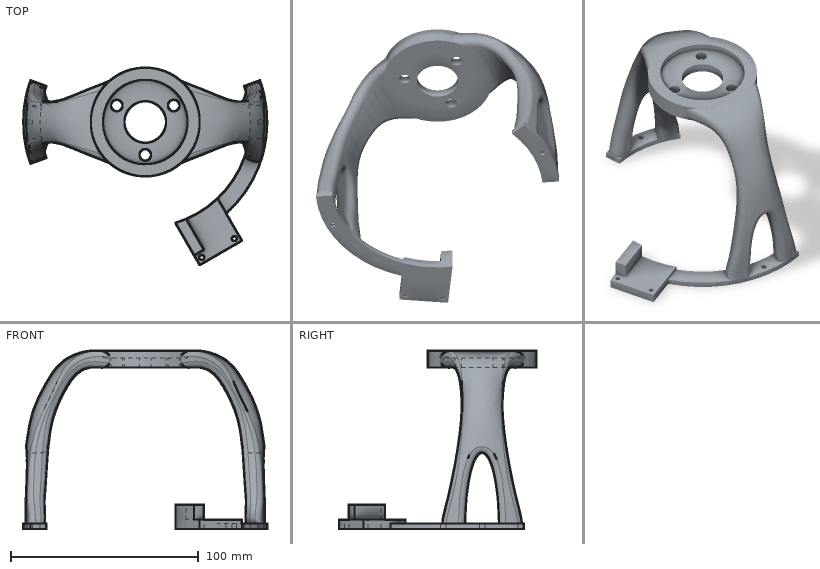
import cadquery as cq
import math

height = 95.0
ring_radius = 29.0
ring_thickness = 9.0
ring_bottom = height - ring_thickness
recess_radius = 22.5
recess_depth = 4.0
center_hole_radius = 11.0
ring_bolt_hole_radius = 3.0
ring_bolt_circle_radius = 17.5
ring_bolt_angles = (-90, 30, 150)

foot_outer_radius = 65.0
foot_inner_radius = 56.0
foot_thickness = 3.0
foot_half_angle = 20.0
foot_hole_radius = 1.5
foot_hole_distance = 61.5

arm_sections = [
    ((foot_outer_radius, foot_thickness), (foot_inner_radius, foot_thickness), 22.0, 19.2, 3.8, 3.35),
    ((64.8, 13.0), (55.5, 13.0), 19.6, 18.0, 3.0, 2.8),
    ((64.3, 24.0), (54.4, 23.5), 16.8, 16.0, 2.4, 2.2),
    ((63.3, 45.5), (52.3, 43.0), 12.9, 12.7, 3.8, 1.2),
    ((59.2, 64.5), (49.0, 60.5), 11.0, 11.0, 6.0, 0.9),
    ((52.9, 77.5), (43.6, 73.0), 11.3, 11.3, 6.0, 0.8),
    ((43.4, 89.6), (36.7, 82.6), 13.5, 13.5, 3.5, 0.4),
    ((31.0, 94.75), (29.5, ring_bottom), 17.4, 17.4, 1.0, 0.1),
    ((24.0, height), (24.0, ring_bottom), 19.9, 19.9, 0.2, 0.1),
    ((16.0, height), (16.0, ring_bottom), 23.4, 23.4, 0.1, 0.1),
]
arm_corner_radius = 3.0

window_half_width = 8.9
window_top = 40.6
window_fillet = 3.0

pad_size = 26.0
pad_half = pad_size / 2
pad_angle = -60.0
pad_thickness = 5.0
pad_hole_radius = 1.25
pad_hole_inset = 3.0

block_width = 6.0
block_length = 20.0
block_height = 13.0


def polar(radius, angle):
    """Point at a radius from the Z axis and an angle in degrees from +X."""
    return (radius * math.cos(math.radians(angle)), radius * math.sin(math.radians(angle)))


def on_inner_arc(y):
    """Point of the feet's inner circle at a given Y, on the +X side."""
    return (math.sqrt(foot_inner_radius**2 - y**2), y)


def cylinder(radius, bottom, top, points=((0, 0),)):
    """Upright cylinders of one radius at the given points."""
    return (
        cq.Workplane("XY", origin=(0, 0, bottom))
        .pushPoints(list(points))
        .circle(radius)
        .extrude(top - bottom)
    )


def make_ring():
    """Top ring with a shallow recess, a centre hole and three bolt holes."""
    bolt_points = [polar(ring_bolt_circle_radius, angle) for angle in ring_bolt_angles]
    return (
        cylinder(ring_radius, ring_bottom, height)
        .cut(cylinder(recess_radius, height - recess_depth, height))
        .cut(cylinder(center_hole_radius, ring_bottom, height))
        .cut(cylinder(ring_bolt_hole_radius, ring_bottom, height, bolt_points))
    )


def arm_section(outer, inner, outer_half_width, inner_half_width, outer_fall, inner_fall):
    """Closed cross section with curved outer and inner faces and rounded corners."""
    thickness = math.dist(outer, inner)
    across_x = (outer[0] - inner[0]) / thickness
    across_z = (outer[1] - inner[1]) / thickness

    def point(depth, side):
        return cq.Vector(inner[0] + depth * across_x, side, inner[1] + depth * across_z)

    inner_left = point(-inner_fall, inner_half_width)
    inner_right = point(-inner_fall, -inner_half_width)
    outer_left = point(thickness - outer_fall, outer_half_width)
    outer_right = point(thickness - outer_fall, -outer_half_width)
    section = cq.Wire.assembleEdges(
        [
            cq.Edge.makeThreePointArc(inner_left, point(0, 0), inner_right),
            cq.Edge.makeLine(inner_right, outer_right),
            cq.Edge.makeThreePointArc(outer_right, point(thickness, 0), outer_left),
            cq.Edge.makeLine(outer_left, inner_left),
        ]
    )
    return section.fillet2D(arm_corner_radius, section.Vertices())


def window_rim(arm, is_outer):
    """Rim of the window on the outer or the inner face of the arm, without its foot."""
    reach = window_half_width + 1
    window_box = cq.selectors.BoxSelector(
        (0, -reach, 0),
        (2 * foot_outer_radius, reach, window_top + 1),
        boundingbox=True,
    )
    return arm.edges(window_box).filter(
        lambda edge: edge.BoundingBox().zlen > window_top / 2
        and (edge.BoundingBox().xmin > foot_hole_distance) == is_outer
    )


def make_arm():
    """Arm on the +X side, from the top of its foot plate to the outside of the ring."""
    arm = cq.Workplane(cq.Solid.makeLoft([arm_section(*section) for section in arm_sections]))
    window = (
        cq.Workplane("YZ", origin=(0, 0, foot_thickness))
        .ellipse(window_half_width, window_top - foot_thickness)
        .extrude(2 * foot_outer_radius)
    )
    arm = arm.cut(window)
    for is_outer in (False, True):
        arm = window_rim(arm, is_outer).fillet(window_fillet)
    return arm.cut(cylinder(ring_radius, 0, 2 * height))


def foot_plate(start_angle, end_angle):
    """Plate that follows the foot annulus, with the screw hole under the +X arm."""
    middle_angle = (start_angle + end_angle) / 2
    plate = (
        cq.Workplane("XY")
        .moveTo(*polar(foot_inner_radius, start_angle))
        .lineTo(*polar(foot_outer_radius, start_angle))
        .threePointArc(polar(foot_outer_radius, middle_angle), polar(foot_outer_radius, end_angle))
        .lineTo(*polar(foot_inner_radius, end_angle))
        .threePointArc(polar(foot_inner_radius, middle_angle), polar(foot_inner_radius, start_angle))
        .close()
        .extrude(foot_thickness)
    )
    return plate.cut(cylinder(foot_hole_radius, 0, foot_thickness, [(foot_hole_distance, 0)]))


def half_turn(body):
    """Copy of a body turned to the opposite side of the Z axis."""
    return body.rotate((0, 0, 0), (0, 0, 1), 180)


def make_stand():
    """Ring, both arms and the foot plate on the -X side."""
    arm = make_arm()
    left_foot = half_turn(foot_plate(-foot_half_angle, foot_half_angle))
    return make_ring().union(arm).union(half_turn(arm)).union(left_foot)


def arc_backed_block(length, start_y, end_y, block_top):
    """Block along +X whose near side follows the feet's inner circle."""
    far_x = on_inner_arc(pad_half)[0] + length
    return (
        cq.Workplane("XY")
        .moveTo(*on_inner_arc(start_y))
        .lineTo(far_x, start_y)
        .lineTo(far_x, end_y)
        .lineTo(*on_inner_arc(end_y))
        .threePointArc(on_inner_arc((start_y + end_y) / 2), on_inner_arc(start_y))
        .close()
        .extrude(block_top)
    )


def make_pad():
    """Square pad with its raised block and two screw holes, centred on +X."""
    pad = arc_backed_block(pad_size, -pad_half, pad_half, pad_thickness)
    block = arc_backed_block(block_length, -pad_half, block_width - pad_half, block_height)
    hole_x = on_inner_arc(pad_half)[0] + pad_size - pad_hole_inset
    hole_y = pad_half - pad_hole_inset
    holes = cylinder(pad_hole_radius, 0, pad_thickness, [(hole_x, -hole_y), (hole_x, hole_y)])
    return pad.union(block).cut(holes)


def make_bracket():
    """Foot plate under the +X arm, the curved strip that continues it and the pad at its end."""
    strip = foot_plate(pad_angle, foot_half_angle)
    return strip.union(make_pad().rotate((0, 0, 0), (0, 0, 1), pad_angle))


stand = make_stand()
bracket = make_bracket()
result = cq.Compound.makeCompound([stand.solids().val(), bracket.solids().val()])